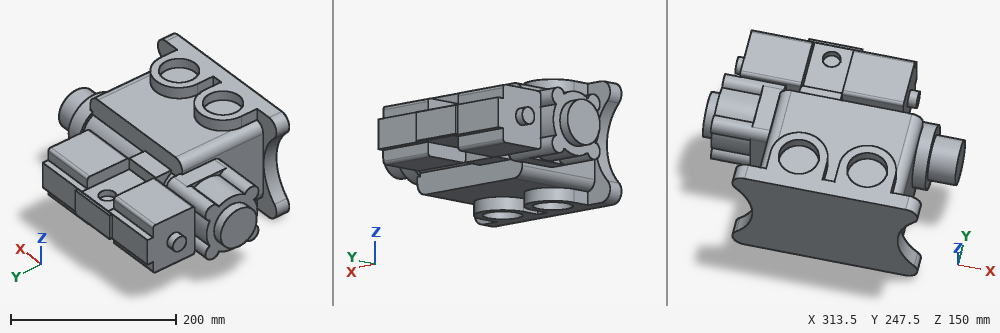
import cadquery as cq
import math


plate_length = 230.0
plate_width = 150.0
plate_thickness = 20.0
plate_corner_radius = 15.0
plate_waist_radius = 70.0

block_length = 177.8
block_width = 117.5
block_top = 145.5
block_corner_radius = 14.0

port_spacing = 85.0
port_height = 45.0
port_boss_radius = 35.0
port_diameter = 49.0
port_depth = 13.5

spool_height = 126.0
barrel_radius = 36.7
barrel_left = -86.0
barrel_right = 84.0
cap_radius = 28.0

actuator_height = 82.5
actuator_width = 80.5
actuator_base_length = 26.0
actuator_rod_length = 49.0
actuator_rod_radius = 11.0
actuator_drum_radius = 39.4
actuator_cap_length = 13.0

end_flange_radius = 40.3
end_flange_length = 21.5
end_cap_length = 34.0

pilot_x = -port_spacing / 2
pilot_length = 51.0
pilot_width = 37.0
pilot_bottom = 170.0
pilot_top = 243.75
pilot_hole_height = 224.5
pilot_hole_diameter = 22.0
pilot_hole_depth = 9.0
cover_length = 66.5
cover_width = 35.5
cover_top = 247.5
neck_width = 69.5
pilot_x_range = (pilot_x - pilot_length / 2, pilot_x + pilot_length / 2)

solenoid_length = 76.0
solenoid_width = 71.5
solenoid_shoulder = 235.0
solenoid_edge_radius = 4.0
pin_height = 202.5
pin_diameter = 21.0
pin_length = 11.0


def box(x_range, y_range, width):
    """Box between two X and two Y limits, centred on Z = 0."""
    (x_min, x_max), (y_min, y_max) = x_range, y_range
    size = (x_max - x_min, y_max - y_min, width)
    return cq.Workplane("XY").box(*size).translate(((x_min + x_max) / 2, (y_min + y_max) / 2, 0))


def rod(x_start, length, radius, y, z=0.0):
    """Cylinder along X, toward -X when the length is negative."""
    return cq.Workplane("YZ", origin=(x_start, y, z)).circle(radius).extrude(length)


def mounting_plate():
    """Rounded rectangle whose two ends are waisted by arcs tangent to the corner rounds."""
    end = plate_length / 2
    side = plate_width / 2
    round_x = end - plate_corner_radius
    round_z = side - plate_corner_radius
    centre_gap = plate_corner_radius + plate_waist_radius
    waist_offset = math.sqrt(centre_gap**2 - round_z**2)
    waist_x = round_x + waist_offset - plate_waist_radius
    tangent_x = round_x + waist_offset * plate_corner_radius / centre_gap
    tangent_z = round_z - round_z * plate_corner_radius / centre_gap
    return (
        cq.Workplane("XZ")
        .moveTo(-round_x, side)
        .lineTo(round_x, side)
        .threePointArc((end, round_z), (tangent_x, tangent_z))
        .threePointArc((waist_x, 0), (tangent_x, -tangent_z))
        .threePointArc((end, -round_z), (round_x, -side))
        .lineTo(-round_x, -side)
        .threePointArc((-end, -round_z), (-tangent_x, -tangent_z))
        .threePointArc((-waist_x, 0), (-tangent_x, tangent_z))
        .threePointArc((-end, round_z), (-round_x, side))
        .close()
        .extrude(-plate_thickness)
    )


def port_boss(x):
    """Arch-ended boss that runs through the block and stands out on both sides."""
    arch = cq.Workplane("XY").center(x, port_height).circle(port_boss_radius)
    arch = arch.extrude(plate_width / 2, both=True)
    foot = box((x - port_boss_radius, x + port_boss_radius), (0, port_height), plate_width)
    return arch.union(foot)


def port_holes(x):
    """Blind port holes in both faces of a boss."""
    hole = cq.Workplane("XY").center(x, port_height).circle(port_diameter / 2).extrude(port_depth)
    upper = hole.translate((0, 0, plate_width / 2 - port_depth))
    lower = hole.translate((0, 0, -plate_width / 2))
    return upper.union(lower)


def add_spool_barrel(body):
    """Round barrel that stands out of the top of the block."""
    return body.union(rod(barrel_left, barrel_right - barrel_left, barrel_radius, spool_height))


def add_actuator(body):
    """Rounded square base, drum with four corner rods and a round cap, left of the barrel."""
    base_left = barrel_left - actuator_base_length
    drum_left = base_left - actuator_rod_length
    half_height = actuator_height / 2
    rod_y = half_height - actuator_rod_radius
    rod_z = actuator_width / 2 - actuator_rod_radius
    base_y_range = (spool_height - half_height, spool_height + half_height)
    base = box((base_left, barrel_left), base_y_range, actuator_width)
    body = body.union(base.edges("|X").fillet(actuator_rod_radius))
    body = body.union(rod(drum_left, actuator_rod_length, actuator_drum_radius, spool_height))
    for y in (spool_height - rod_y, spool_height + rod_y):
        for z in (-rod_z, rod_z):
            body = body.union(rod(drum_left, actuator_rod_length, actuator_rod_radius, y, z))
    cap_left = drum_left - actuator_cap_length
    return body.union(rod(cap_left, actuator_cap_length, cap_radius, spool_height))


def add_end_cap(body):
    """Round flange with a smaller round cap, right of the barrel."""
    flange_right = barrel_right + end_flange_length
    body = body.union(rod(barrel_right, end_flange_length, end_flange_radius, spool_height))
    return body.union(rod(flange_right, end_cap_length, cap_radius, spool_height))


def make_housing():
    """Plate, block, port bosses, barrel with both its ends, and the neck under the pilot block."""
    block = box((-block_length / 2, block_length / 2), (0, block_top), block_width)
    body = mounting_plate().union(block.edges("|Y").fillet(block_corner_radius))
    for x in (-port_spacing / 2, port_spacing / 2):
        body = body.union(port_boss(x)).cut(port_holes(x))
    body = add_spool_barrel(body)
    body = add_actuator(body)
    body = add_end_cap(body)
    return body.union(box(pilot_x_range, (spool_height, pilot_bottom), neck_width))


def make_pilot_block():
    """Block with a blind hole in its +Z face and a cover that reaches over both solenoids."""
    cover_x_range = (pilot_x - cover_length / 2, pilot_x + cover_length / 2)
    hole = (
        cq.Workplane("XY", origin=(pilot_x, pilot_hole_height, pilot_width / 2))
        .circle(pilot_hole_diameter / 2)
        .extrude(-pilot_hole_depth)
    )
    body = box(pilot_x_range, (pilot_bottom, pilot_top), pilot_width)
    return body.union(box(cover_x_range, (pilot_top, cover_top), cover_width)).cut(hole)


def make_solenoid(side):
    """Wide round-edged block with a narrow ridge along its top and a pin on its outer end.

    The side is 1 for the +X end of the pilot block and -1 for its -X end.
    """
    inner = pilot_x + side * pilot_length / 2
    outer = inner + side * solenoid_length
    x_range = (min(inner, outer), max(inner, outer))
    body = box(x_range, (pilot_bottom, solenoid_shoulder), solenoid_width)
    body = body.edges("|X").fillet(solenoid_edge_radius)
    body = body.union(box(x_range, (pilot_bottom, pilot_top), pilot_width))
    return body.union(rod(outer, side * pin_length, pin_diameter / 2, pin_height))


housing = make_housing()
pilot_block = make_pilot_block()
solenoids = [make_solenoid(side) for side in (-1, 1)]

result = cq.Compound.makeCompound([
    housing.val(),
    pilot_block.val(),
    *[solenoid.val() for solenoid in solenoids],
])